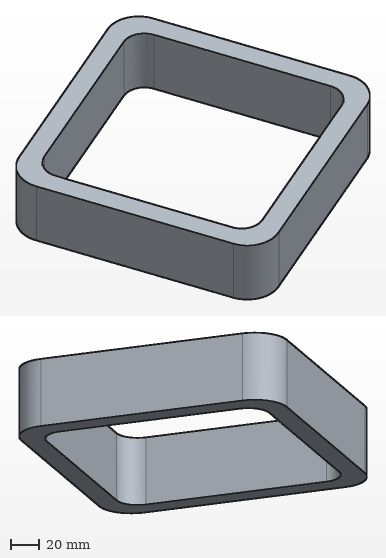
import cadquery as cq

side = 200.0
height = 50.0
wall = 16.0
outer_radius = 24.0
inner_radius = 16.0


def rounded_block(width, corner_radius):
    """Square block standing on Z = 0 with rounded vertical edges."""
    block = cq.Workplane("XY").rect(width, width).extrude(height)
    return block.edges("|Z").fillet(corner_radius)


opening = rounded_block(side - 2 * wall, inner_radius)
result = rounded_block(side, outer_radius).cut(opening)